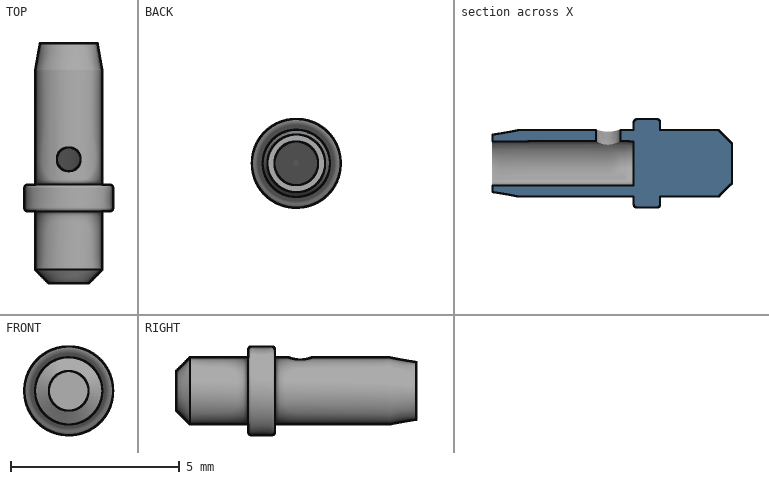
import math

import cadquery as cq

overall_length = 7.14
body_radius = 1.0

tip_chamfer = 0.41

flange_radius = 1.325
flange_start = 2.14
flange_width = 0.8
flange_end = flange_start + flange_width
flange_edge_radius = 0.11

taper_length = 0.8
taper_angle = 10

bore_radius = 0.65
bore_floor = flange_end
inspection_radius = 0.355
inspection_y = 3.69


def cylinder_along_y(radius, start, end):
    """Cylinder on the pin axis between two Y positions."""
    return cq.Workplane("XZ", origin=(0, start, 0)).circle(radius).extrude(start - end)


def make_body():
    """Revolved pin body with a chamfered tip and a conical wire end."""
    end_radius = body_radius - taper_length * math.tan(math.radians(taper_angle))
    profile = (
        cq.Workplane("XY")
        .lineTo(body_radius - tip_chamfer, 0)
        .lineTo(body_radius, tip_chamfer)
        .lineTo(body_radius, overall_length - taper_length)
        .lineTo(end_radius, overall_length)
        .lineTo(0, overall_length)
        .close()
    )
    return profile.revolve(360, (0, 0, 0), (0, 1, 0))


def make_flange():
    """Locating flange with both rims rounded."""
    flange = cylinder_along_y(flange_radius, flange_start, flange_end)
    return flange.faces("<Y or >Y").edges().fillet(flange_edge_radius)


def make_wire_bore():
    """Flat-bottomed bore from the wire end down to the top of the flange."""
    return cylinder_along_y(bore_radius, bore_floor, overall_length)


def make_inspection_hole():
    """Radial hole from the pin axis out through the +Z side."""
    hole = cq.Workplane("XY", origin=(0, inspection_y, 0)).circle(inspection_radius)
    return hole.extrude(body_radius)


result = (
    make_body()
    .union(make_flange())
    .cut(make_wire_bore())
    .cut(make_inspection_hole())
)